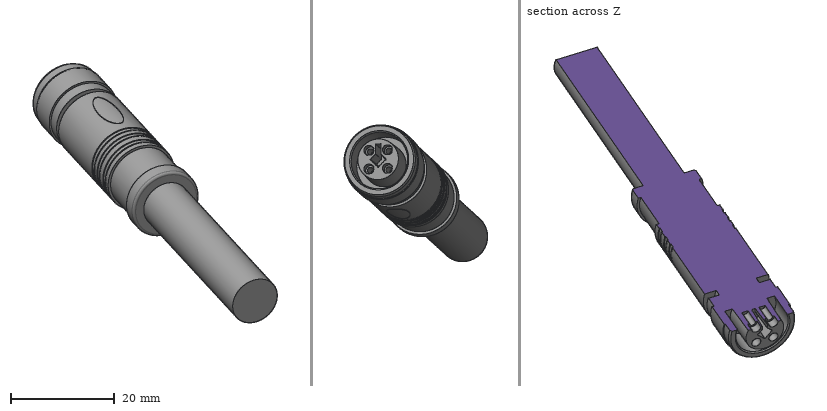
import cadquery as cq

total_length = 86.7
cable_radius = 4.8

nut_start = 1.0
nut_chamfer_end = 1.6
nut_band_start = 3.6
nut_band_end = 9.3
nut_end = 11.8
nut_face_radius = 6.8
nut_radius = 7.0
nut_band_radius = 7.24
nut_rear_radius = 6.85

socket_tip_radius = 4.0
socket_root_radius = 4.2
bore_radius = 5.55
bore_mouth_radius = 5.8
bore_mouth_depth = 0.3
bore_floor = 6.9

neck_radius = 4.7
body_start = 13.1
body_end = 35.4
body_radius = 7.0
groove_starts = (28.0, 30.35, 32.95)
groove_width = 1.0
groove_depth = 0.2

sleeve_radius = 6.5
collar_start = 43.6
collar_end = 46.65
collar_rounding = 0.5

contact_offset = 1.8
contact_radius = 0.6
contact_mouth_radius = 0.95
contact_mouth_depth = 1.7
contact_depth = 5.2
key_half_diagonal = 1.6
key_slot_width = 1.0
key_slot_top = 3.0
key_depth = 5.2
key_draft_angle = 2.0

label_center = 20.6
label_length = 10.7
label_width = 4.2
label_height = 0.1


def cylinder(start, end, radius):
    return cq.Workplane("YZ").workplane(offset=start).circle(radius).extrude(end - start)


def ring(start, end, outer_radius, inner_radius):
    return cylinder(start, end, outer_radius).cut(cylinder(start, end, inner_radius))


def cone(start, end, start_radius, end_radius):
    outline = [(start, 0), (start, start_radius), (end, end_radius), (end, 0)]
    return cq.Workplane("XY").polyline(outline).close().revolve(360, (0, 0, 0), (1, 0, 0))


def make_nut():
    nut = cone(nut_start, nut_chamfer_end, nut_face_radius, nut_radius)
    nut = nut.union(cylinder(nut_chamfer_end, nut_band_start, nut_radius))
    nut = nut.union(cylinder(nut_band_start, nut_band_end, nut_band_radius))
    nut = nut.union(cylinder(nut_band_end, nut_end, nut_rear_radius))
    nut = nut.cut(cylinder(nut_start, bore_floor, bore_radius))
    mouth_end = nut_start + bore_mouth_depth
    return nut.cut(cone(nut_start, mouth_end, bore_mouth_radius, bore_radius))


def make_body():
    body = cylinder(body_start, body_end, body_radius)
    for start in groove_starts:
        body = body.cut(ring(start, start + groove_width, body_radius, body_radius - groove_depth))
    return body


def make_rear():
    sleeve = cylinder(body_end, collar_start, sleeve_radius)
    collar = cylinder(collar_start, collar_end, body_radius).faces(">X").edges().fillet(collar_rounding)
    return sleeve.union(collar)


def make_label_pads():
    ovals = (
        cq.Workplane("XY")
        .center(label_center, 0)
        .ellipse(label_length / 2, label_width / 2)
        .extrude(2 * body_radius, both=True)
    )
    shell = ring(body_start, body_end, body_radius + label_height, neck_radius)
    return shell.intersect(ovals)


def contact_bores(radius, depth):
    spacing = 2 * contact_offset
    centers = cq.Workplane("YZ").rect(spacing, spacing, forConstruction=True).vertices()
    return centers.circle(radius).extrude(depth)


def make_contact_holes():
    holes = contact_bores(contact_radius, contact_depth)
    return holes.union(contact_bores(contact_mouth_radius, contact_mouth_depth))


def make_key_opening():
    slot_side = key_slot_width / 2
    shoulder = key_half_diagonal - slot_side
    outline = [
        (0, -key_half_diagonal),
        (key_half_diagonal, 0),
        (slot_side, shoulder),
        (slot_side, key_slot_top),
        (-slot_side, key_slot_top),
        (-slot_side, shoulder),
        (-key_half_diagonal, 0),
    ]
    return cq.Workplane("YZ").polyline(outline).close().extrude(key_depth, taper=key_draft_angle)


result = (
    make_nut()
    .union(cone(0, bore_floor, socket_tip_radius, socket_root_radius))
    .union(cylinder(bore_floor, body_start, neck_radius))
    .union(make_body())
    .union(make_label_pads())
    .union(make_rear())
    .union(cylinder(collar_end, total_length, cable_radius))
    .cut(make_contact_holes())
    .cut(make_key_opening())
)